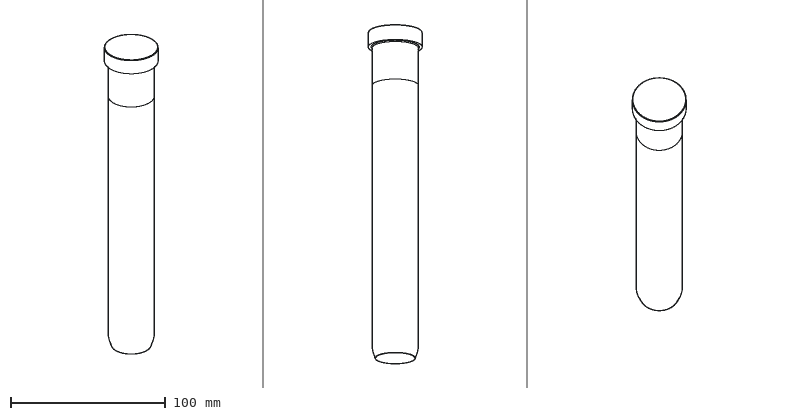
import cadquery as cq

total_length = 220.0
head_diameter = 35.0
head_height = 10.1
head_edge_chamfer = 0.5
under_head_flare = 0.7
shank_diameter = 30.0
collar_bottom_depth = 36.0

nose_height = 7.0
nose_end_diameter = 26.0
nose_edge_chamfer = 0.2
nose_bulge = 0.2

head_radius = head_diameter / 2
shank_radius = shank_diameter / 2
nose_end_radius = nose_end_diameter / 2
split_height = total_length - collar_bottom_depth


def make_headed_collar():
    """Upper body: a plain collar that flares slightly into the wider flat head."""
    head_bottom = total_length - head_height
    profile = (
        cq.Workplane("XZ")
        .moveTo(0, split_height)
        .lineTo(shank_radius, split_height)
        .lineTo(shank_radius, head_bottom - under_head_flare)
        .lineTo(shank_radius + under_head_flare, head_bottom)
        .lineTo(head_radius, head_bottom)
        .lineTo(head_radius, total_length - head_edge_chamfer)
        .lineTo(head_radius - head_edge_chamfer, total_length)
        .lineTo(0, total_length)
        .close()
    )
    return profile.revolve(360, (0, 0, 0), (0, 1, 0))


def make_shank():
    """Lower body: a long round shank that narrows to a bowed nose."""
    nose_middle_radius = (shank_radius + nose_end_radius) / 2 + nose_bulge
    profile = (
        cq.Workplane("XZ")
        .lineTo(nose_end_radius, 0)
        .threePointArc((nose_middle_radius, nose_height / 2), (shank_radius, nose_height))
        .lineTo(shank_radius, split_height)
        .lineTo(0, split_height)
        .close()
    )
    shank = profile.revolve(360, (0, 0, 0), (0, 1, 0))
    return shank.faces("<Z").edges().chamfer(nose_edge_chamfer)


headed_collar = make_headed_collar()
shank = make_shank()

result = cq.Compound.makeCompound([headed_collar.val(), shank.val()])